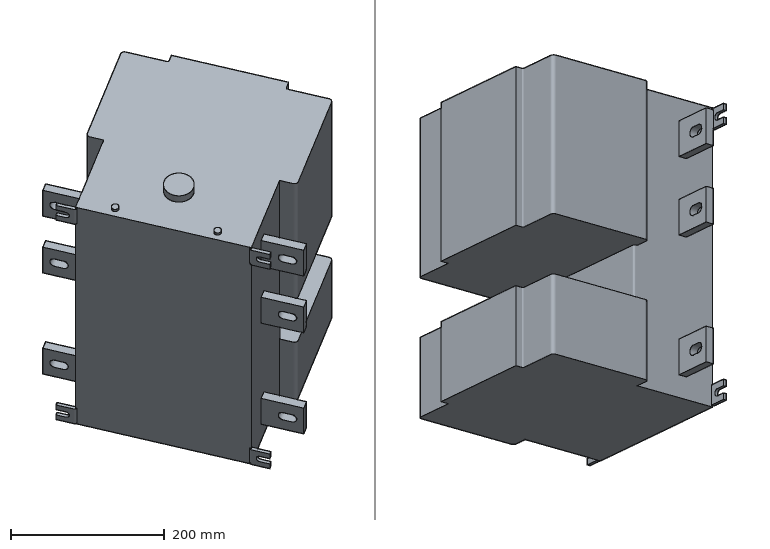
import cadquery as cq

total_height = 431.5

housing_width = 240.0
housing_depth = 129.0
housing_height = 419.5
housing_back_round = 2.5

total_depth = 292.5
block_width = 288.0
block_front_y = 124.0
block_round = 5.0
panel_width = 160.0
panel_height = 12.0
panel_root_round = 1.7
lower_block_top = 112.2
upper_block_bottom = 197.0

bar_length = 356.0
bar_thickness = 12.0
bar_height = 50.0
bar_center_y = 49.0
bar_center_heights = (57.0, 253.0, 363.0)
bar_slot_length = 25.0
bar_slot_width = 14.0
bar_slot_center_x = 156.0

bracket_inner_x = 117.5
bracket_outer_x = 146.0
bracket_thickness = 4.7
bracket_overhang = 2.5
bracket_end_round = 4.5
bracket_height = 28.5
bracket_end_gap = 2.0
bracket_slot_width = 10.0
bracket_slot_center_x = 132.5

top_knob_diameter = 40.0
top_knob_height = total_height - housing_height
top_knob_y = 67.8
pin_diameter = 10.0
pin_height = 4.0
pin_spacing = 140.0
pin_y = 13.0
rear_knob_diameter = 23.0
rear_knob_length = 16.5


def box_between(x0, x1, y0, y1, z0, z1):
    return cq.Workplane("XY").box(x1 - x0, y1 - y0, z1 - z0, centered=False).translate((x0, y0, z0))


def make_housing():
    half = housing_width / 2
    housing = box_between(-half, half, 0, housing_depth, 0, housing_height)
    return housing.edges("|Z and >Y").fillet(housing_back_round)


def make_rear_block(bottom, top):
    """Wide block with rounded upright corners and small rounds at the roots of its raised panel."""
    half = block_width / 2
    half_panel = panel_width / 2
    shoulder_y = total_depth - panel_height
    block = box_between(-half, half, block_front_y, shoulder_y, bottom, top)
    block = block.edges("|Z").fillet(block_round)
    block = block.union(box_between(-half_panel, half_panel, block_front_y, total_depth, bottom, top))
    panel_roots = cq.selectors.BoxSelector(
        (-half_panel - block_round, shoulder_y - block_round, bottom),
        (half_panel + block_round, shoulder_y + block_round, top),
    )
    return block.edges("|Z").edges(panel_roots).fillet(panel_root_round)


def make_terminal_bar(center_z):
    bar = cq.Workplane("XY").box(bar_length, bar_thickness, bar_height)
    slots = (
        cq.Workplane("XZ")
        .pushPoints([(-bar_slot_center_x, 0), (bar_slot_center_x, 0)])
        .slot2D(bar_slot_length, bar_slot_width)
        .extrude(bar_thickness, both=True)
    )
    return bar.cut(slots).translate((0, bar_center_y, center_z))


def make_right_bracket(bottom):
    """Plate with a rounded inner front edge and a slot open to the outside."""
    front_y = -bracket_overhang
    back_y = front_y + bracket_thickness
    top = bottom + bracket_height
    middle_z = bottom + bracket_height / 2
    half_slot = bracket_slot_width / 2
    plate = box_between(bracket_inner_x, bracket_outer_x, front_y, back_y, bottom, top)
    plate = plate.edges("|Z and <X and <Y").fillet(bracket_end_round)
    slot_end = (
        cq.Workplane("XZ")
        .center(bracket_slot_center_x, middle_z)
        .circle(half_slot)
        .extrude(bracket_thickness, both=True)
    )
    slot_mouth = box_between(
        bracket_slot_center_x, bracket_outer_x, front_y, back_y, middle_z - half_slot, middle_z + half_slot
    )
    return plate.cut(slot_end).cut(slot_mouth)


def upright_cylinder(x, y, diameter, height):
    """Cylinder standing on the top face of the housing."""
    return cq.Workplane("XY").circle(diameter / 2).extrude(height).translate((x, y, housing_height))


def make_rear_knob():
    gap_middle = (lower_block_top + upper_block_bottom) / 2
    knob = cq.Workplane("XZ").circle(rear_knob_diameter / 2).extrude(-rear_knob_length)
    return knob.translate((0, housing_depth, gap_middle))


result = make_housing()
result = result.union(make_rear_block(0, lower_block_top))
result = result.union(make_rear_block(upper_block_bottom, housing_height))

for center_z in bar_center_heights:
    result = result.union(make_terminal_bar(center_z))

for bracket_bottom in (bracket_end_gap, housing_height - bracket_end_gap - bracket_height):
    right_bracket = make_right_bracket(bracket_bottom)
    result = result.union(right_bracket).union(right_bracket.mirror("YZ"))

result = result.union(upright_cylinder(0, top_knob_y, top_knob_diameter, top_knob_height))
for pin_x in (-pin_spacing / 2, pin_spacing / 2):
    result = result.union(upright_cylinder(pin_x, pin_y, pin_diameter, pin_height))
result = result.union(make_rear_knob())